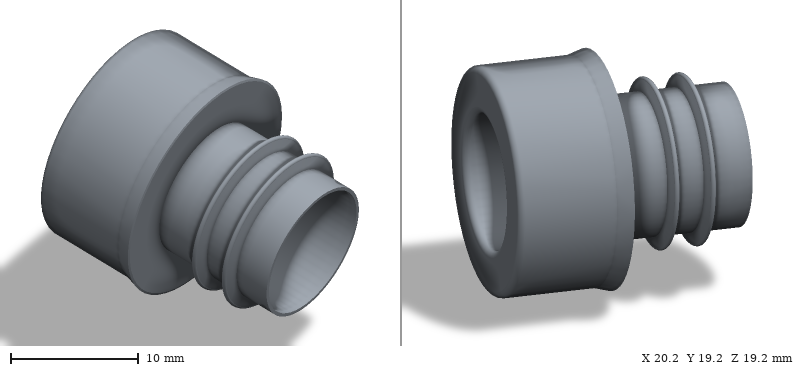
import cadquery as cq

total_length = 20.2
bore_radius = 10.9 / 2
tube_radius = 11.5 / 2

head_radius = 18.4 / 2
lip_radius = 19.2 / 2
head_length = 9.4
flare_length = 1.33
bevel_length = 0.06
bevel_height = 0.18
edge_round = 0.5

rib_radius = 6.87
rib_width = 1.0
rib_tip_width = 0.4
first_rib_center = 13.7
rib_spacing = 2.99
rib_count = 2


def revolve_about_x(profile):
    return profile.close().revolve(360, (0, 0, 0), (1, 0, 0))


def make_head():
    """Cylinder that flares out to the lip and ends in a narrow bevel."""
    lip_position = head_length - bevel_length
    profile = (
        cq.Workplane("XY")
        .lineTo(0, head_radius)
        .lineTo(lip_position - flare_length, head_radius)
        .lineTo(lip_position, lip_radius)
        .lineTo(head_length, lip_radius - bevel_height)
        .lineTo(head_length, 0)
    )
    return revolve_about_x(profile)


def make_tube():
    return cq.Workplane("YZ").circle(tube_radius).extrude(total_length)


def make_rib(center):
    """Ring with sloping sides and a rounded tip, overlapping into the tube wall."""
    root_radius = (bore_radius + tube_radius) / 2
    tip_shoulder = rib_radius - rib_tip_width / 2
    profile = (
        cq.Workplane("XY")
        .moveTo(center - rib_width / 2, root_radius)
        .lineTo(center - rib_width / 2, tube_radius)
        .lineTo(center - rib_tip_width / 2, tip_shoulder)
        .threePointArc((center, rib_radius), (center + rib_tip_width / 2, tip_shoulder))
        .lineTo(center + rib_width / 2, tube_radius)
        .lineTo(center + rib_width / 2, root_radius)
    )
    return revolve_about_x(profile)


body = make_head().union(make_tube())
for index in range(rib_count):
    body = body.union(make_rib(first_rib_center + index * rib_spacing))

bore = cq.Workplane("YZ").circle(bore_radius).extrude(total_length)
result = body.cut(bore).faces("<X").edges().fillet(edge_round)